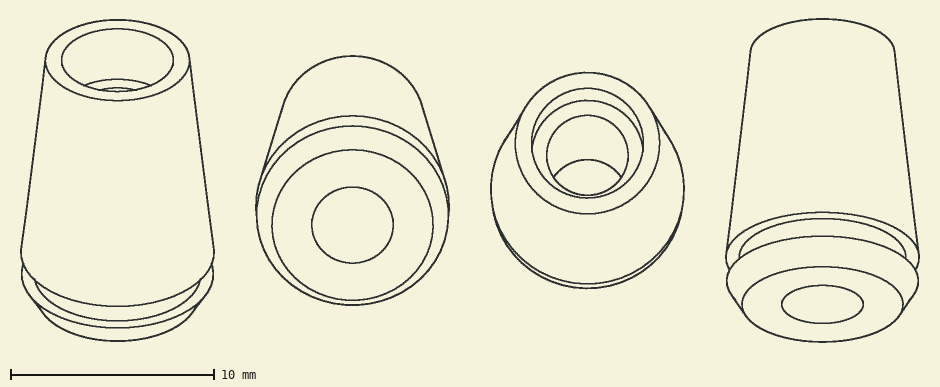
import cadquery as cq

total_height = 14.0
flange_height = 1.3
groove_width = 1.3
counterbore_depth = 3.0

body_base_diameter = 9.5
body_top_diameter = 7.1
groove_diameter = 8.2
flange_top_diameter = 9.44
flange_bottom_diameter = 7.92

counterbore_diameter = 5.5
through_diameter = 4.0

groove_top = flange_height + groove_width
counterbore_floor = total_height - counterbore_depth


def revolved_collet():
    """Revolve the half section: bored flange, groove, tapered body and counterbore."""
    section = [
        (through_diameter / 2, 0),
        (flange_bottom_diameter / 2, 0),
        (flange_top_diameter / 2, flange_height),
        (groove_diameter / 2, flange_height),
        (groove_diameter / 2, groove_top),
        (body_base_diameter / 2, groove_top),
        (body_top_diameter / 2, total_height),
        (counterbore_diameter / 2, total_height),
        (counterbore_diameter / 2, counterbore_floor),
        (through_diameter / 2, counterbore_floor),
    ]
    return cq.Workplane("XZ").polyline(section).close().revolve(360, (0, 0), (0, 1))


result = revolved_collet()